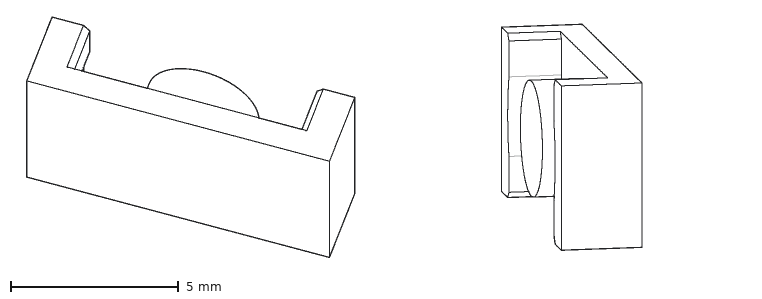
import cadquery as cq

length = 9.5
depth = 2.45
height = 5.0
plate_thickness = 0.855
leg_end_width = 0.99
leg_bevel = 0.2
post_diameter = 3.5

hollow_radius = length / 2 - leg_end_width
leg_width = leg_end_width + leg_bevel
rise = depth - plate_thickness


def leg_block(side):
    """Leg at one X end; side is -1 or +1."""
    centre_x = side * (length - leg_width) / 2
    inner_edges = "|Y and <X" if side > 0 else "|Y and >X"
    return (
        cq.Workplane("XY", origin=(centre_x, plate_thickness, 0))
        .box(leg_width, rise, height, centered=(True, False, True))
        .edges(inner_edges)
        .chamfer(leg_bevel)
    )


def cylinder_on_plate(radius):
    """Cylinder along +Y from the plate face to the level of the leg ends."""
    return cq.Workplane("XZ", origin=(0, plate_thickness, 0)).circle(radius).extrude(-rise)


plate = cq.Workplane("XY").box(length, plate_thickness, height, centered=(True, False, True))
hollow = cylinder_on_plate(hollow_radius)
post = cylinder_on_plate(post_diameter / 2)

result = plate.union(post)
for side in (-1, 1):
    result = result.union(leg_block(side).cut(hollow))